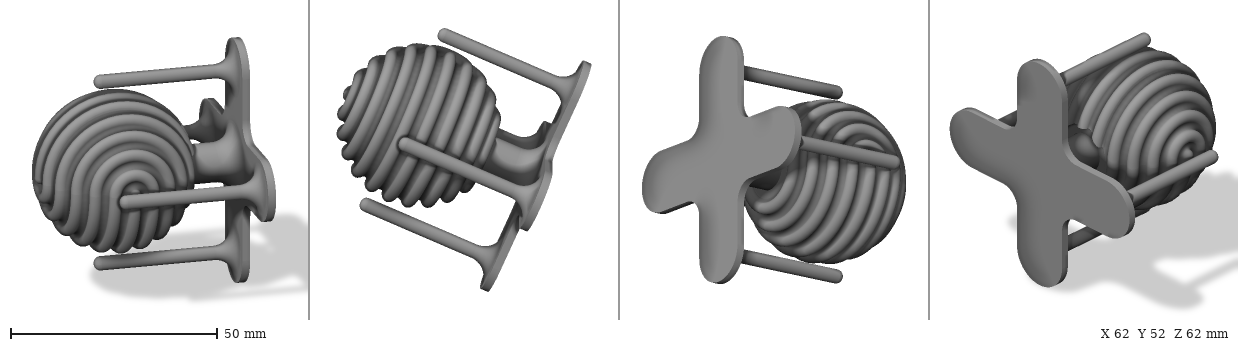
import cadquery as cq
import math

SPAN = 62.0
ARM_WIDTH = 15.5
PLATE_THICKNESS = 2.0
PLATE_BACK_Y = 32.0
INNER_CORNER_RADIUS = 4.9
PLATE_FRONT_Y = PLATE_BACK_Y - PLATE_THICKNESS

FLARE_RADIUS = 5.0
PIN_RADIUS = 3.5 / 2
PIN_TIP_Y = -5.15
PIN_TIP_ROUND = 1.55
PIN_OFFSET = (SPAN - ARM_WIDTH) / 2
STEM_RADIUS = 9.8 / 2
STEM_END_Y = 0.0

BALL_RADIUS = 20.0
RIB_RADIUS = 1.5
GROOVE_RADIUS = 1.0
RIB_STEP = 15.0
RIBS_PER_HALF = round(180 / RIB_STEP)
RIB_CENTER_RADIUS = BALL_RADIUS - RIB_RADIUS

SOCKET_RADIUS = 10.0 / 2
RECESS_RADIUS = 7.55
RECESS_FLOOR_Y = 16.5
RECESS_FLOOR_FILLET = 0.75


def polar(radius, degrees):
    angle = math.radians(degrees)
    return radius * math.cos(angle), radius * math.sin(angle)


def half_ball(plane):
    """Half of the ribbed ball: rib and groove arcs, all tangent, turned 180 degrees about plane's X axis."""
    half_step = RIB_STEP / 2
    half_chord = RIB_CENTER_RADIUS * math.sin(math.radians(half_step))
    center_distance = RIB_RADIUS + GROOVE_RADIUS
    groove_center_radius = (RIB_CENTER_RADIUS * math.cos(math.radians(half_step))
                            + math.sqrt(center_distance**2 - half_chord**2))
    groove_floor_radius = groove_center_radius - GROOVE_RADIUS

    def tangent_point(rib_angle, groove_angle):
        rib_x, rib_y = polar(RIB_CENTER_RADIUS, rib_angle)
        groove_x, groove_y = polar(groove_center_radius, groove_angle)
        share = RIB_RADIUS / center_distance
        return rib_x + share * (groove_x - rib_x), rib_y + share * (groove_y - rib_y)

    end_x, end_y = tangent_point(0, half_step)
    end_rib_angle = math.degrees(math.atan2(end_y, end_x - RIB_CENTER_RADIUS))
    bump_x, bump_y = polar(RIB_RADIUS, end_rib_angle / 2)
    bump_x += RIB_CENTER_RADIUS

    outline = cq.Workplane(plane).moveTo(BALL_RADIUS, 0)
    outline = outline.threePointArc((bump_x, bump_y), (end_x, end_y))
    for rib in range(1, RIBS_PER_HALF + 1):
        angle = rib * RIB_STEP
        groove_angle = angle - half_step
        outline = outline.threePointArc(polar(groove_floor_radius, groove_angle),
                                        tangent_point(angle, groove_angle))
        if rib < RIBS_PER_HALF:
            outline = outline.threePointArc(polar(BALL_RADIUS, angle),
                                            tangent_point(angle, angle + half_step))
    outline = outline.threePointArc((-bump_x, bump_y), (-BALL_RADIUS, 0))
    return outline.close().revolve(180, (0, 0, 0), (1, 0, 0))


def cylinder_along_y(radius, start_y, end_y):
    return cq.Workplane("XZ", origin=(0, end_y, 0)).circle(radius).extrude(end_y - start_y)


def make_ball():
    upper = half_ball(cq.Plane((0, 0, 0), (1, 0, 0), (0, 0, 1)))
    lower = half_ball(cq.Plane((0, 0, 0), (0, 1, 0), (0, 0, -1)))
    ball = upper.union(lower)
    recess = cylinder_along_y(RECESS_RADIUS, RECESS_FLOOR_Y, PLATE_FRONT_Y)
    recess = recess.faces("<Y").edges().fillet(RECESS_FLOOR_FILLET)
    socket = cylinder_along_y(SOCKET_RADIUS, STEM_END_Y, PLATE_FRONT_Y)
    return ball.cut(recess).cut(socket)


def make_plate():
    blank = cq.Workplane("XZ", origin=(0, PLATE_BACK_Y, 0))
    arm_x = blank.slot2D(SPAN, ARM_WIDTH).extrude(PLATE_THICKNESS)
    arm_z = blank.slot2D(SPAN, ARM_WIDTH, 90).extrude(PLATE_THICKNESS)
    reach = ARM_WIDTH * 0.55
    inner_corners = cq.selectors.BoxSelector((-reach, PLATE_FRONT_Y, -reach), (reach, PLATE_BACK_Y, reach))
    return arm_x.union(arm_z).edges("|Y").edges(inner_corners).fillet(INNER_CORNER_RADIUS)


def flared_post(radius, end_y, tip_round=0.0):
    """Round post along -Y from the plate, flaring out at its root and optionally rounded at its tip."""
    flare_mid = FLARE_RADIUS * (1 - math.sqrt(0.5))
    tip_mid = tip_round * (1 - math.sqrt(0.5))
    outline = (
        cq.Workplane("XY")
        .moveTo(0, PLATE_FRONT_Y)
        .lineTo(radius + FLARE_RADIUS, PLATE_FRONT_Y)
        .threePointArc((radius + flare_mid, PLATE_FRONT_Y - flare_mid), (radius, PLATE_FRONT_Y - FLARE_RADIUS))
        .lineTo(radius, end_y + tip_round)
    )
    if tip_round > 0:
        outline = outline.threePointArc((radius - tip_mid, end_y + tip_mid), (radius - tip_round, end_y))
    return outline.lineTo(0, end_y).close().revolve(360, (0, 0, 0), (0, 1, 0))


def make_holder():
    holder = make_plate().union(flared_post(STEM_RADIUS, STEM_END_Y))
    pin = flared_post(PIN_RADIUS, PIN_TIP_Y, PIN_TIP_ROUND)
    for x, z in [(1, 0), (0, 1), (-1, 0), (0, -1)]:
        holder = holder.union(pin.translate((x * PIN_OFFSET, 0, z * PIN_OFFSET)))
    return holder


ball = make_ball()
holder = make_holder()
result = cq.Compound.makeCompound([ball.solids().val(), holder.solids().val()])